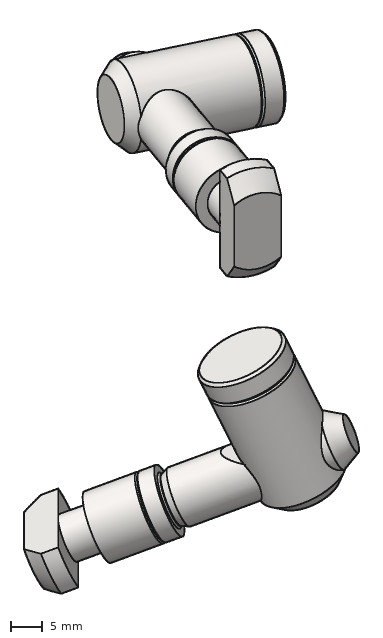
import cadquery as cq
import math


housing_radius = 7.5
housing_front = -6.65
housing_back = 20.05
nose_radius = 5.5
nose_length = 2.1
back_chamfer = 0.5
housing_groove_front = 15.7
housing_groove_width = 0.65
groove_depth = 0.25

bolt_start = -10.15
bolt_length = 54
bolt_end = bolt_start + bolt_length
rod_radius = 4.95
tip_taper_length = 3.0
tip_taper_angle = 30
tip_radius = rod_radius - tip_taper_length * math.tan(math.radians(tip_taper_angle))
shoulder_start = 19.1
neck_start = 20.35
neck_end = 20.45
neck_radius = 4.4
collar_start = 20.8
collar_end = 33.0
collar_radius = 6.0
collar_groove_start = collar_start + 2.8
collar_groove_width = 0.5
shank_radius = 4.0

head_radius = 9.7
head_width = 2 * shank_radius
head_start = 38.0
head_chamfer = 2.9

ramp_end = 9.9
ramp_angle = 25
ramp_depth = ramp_end * math.tan(math.radians(ramp_angle))


def make_housing():
    """Round housing turned about Y, with a cross hole for the bolt."""
    groove_middle = housing_groove_front + housing_groove_width / 2
    groove_back = housing_groove_front + housing_groove_width
    profile = [
        (0, housing_front),
        (nose_radius, housing_front),
        (housing_radius, housing_front + nose_length),
        (housing_radius, housing_groove_front),
        (housing_radius - groove_depth, groove_middle),
        (housing_radius, groove_back),
        (housing_radius, housing_back - back_chamfer),
        (housing_radius - back_chamfer, housing_back),
        (0, housing_back),
    ]
    body = cq.Workplane("XY").polyline(profile).close().revolve(360, (0, 0, 0), (0, 1, 0))
    cross_hole = cq.Workplane("YZ").circle(rod_radius).extrude(housing_radius, both=True)
    return body.cut(cross_hole)


def make_turned_rod():
    """Rod, neck, grooved collar and shank turned about X, up to the head."""
    groove_middle = collar_groove_start + collar_groove_width / 2
    groove_end = collar_groove_start + collar_groove_width
    profile = [
        (bolt_start, 0),
        (bolt_start, tip_radius),
        (bolt_start + tip_taper_length, rod_radius),
        (shoulder_start, rod_radius),
        (neck_start, neck_radius),
        (neck_end, neck_radius),
        (collar_start, neck_radius + collar_start - neck_end),
        (collar_start, collar_radius),
        (collar_groove_start, collar_radius),
        (groove_middle, collar_radius - groove_depth),
        (groove_end, collar_radius),
        (collar_end, collar_radius),
        (collar_end, shank_radius),
        (head_start, shank_radius),
        (head_start, 0),
    ]
    return cq.Workplane("XY").polyline(profile).close().revolve(360, (0, 0, 0), (1, 0, 0))


def make_head():
    """Chamfered disc cut down to a bar as wide as the shank."""
    thickness = bolt_end - head_start
    disc = cq.Workplane("YZ", origin=(head_start, 0, 0)).circle(head_radius).extrude(thickness)
    disc = disc.faces(">X").chamfer(head_chamfer)
    bar = cq.Workplane("YZ", origin=(head_start, 0, 0)).rect(head_width, 2 * head_radius).extrude(thickness)
    return disc.intersect(bar)


def make_ramp_cutter():
    """Wedge that slopes into the rod and ends in a wall at the housing axis."""
    profile = [(0, rod_radius), (ramp_end, rod_radius), (0, rod_radius - ramp_depth)]
    return cq.Workplane("XY").polyline(profile).close().extrude(rod_radius, both=True)


def make_bolt():
    return make_turned_rod().union(make_head()).cut(make_ramp_cutter())


housing = make_housing()
bolt = make_bolt()
result = cq.Compound.makeCompound([housing.val(), bolt.val()])